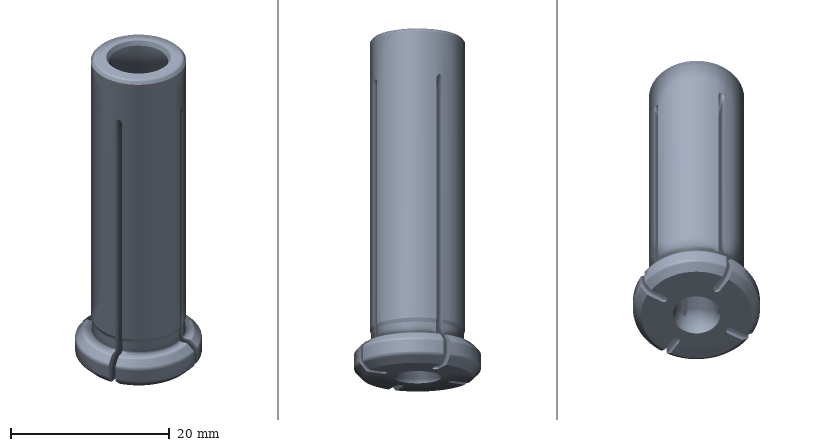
import cadquery as cq

length = 44.0
flange_radius = 16.0 / 2
body_radius = 12.0 / 2

flange_height = 4.0
flange_chamfer = 1.0
flange_edge_fillet = 0.5

groove_depth = 0.15
groove_top = 6.15
groove_taper_height = 0.5
groove_corner_fillet = 0.3

top_chamfer_width = 0.4
top_chamfer_height = 0.5
top_fillet = 0.5

upper_bore_radius = 7.5 / 2
lower_bore_radius = 6.0 / 2
upper_bore_depth = 7.9
bore_cone_height = 1.3
mouth_radius = 4.05
mouth_depth = 0.55

slot_count = 4
slot_width = 0.92
saw_radius = 15.4
saw_axis_offset = 17.55
saw_bottom_z = 8.0
saw_top_z = 27.9


def fillet_circle(body, edge_radius, z, fillet_radius):
    """Fillet the circular edge that has the given radius and height."""
    tolerance = 0.0005

    def is_wanted(edge):
        return (
            edge.geomType() == "CIRCLE"
            and abs(edge.radius() - edge_radius) < tolerance
            and abs(edge.Center().z - z) < tolerance
        )

    return body.edges().filter(is_wanted).fillet(fillet_radius)


def outer_body():
    """Revolve the outside of the flange, relief groove and cylindrical body."""
    groove_radius = body_radius - groove_depth
    flange_face_radius = flange_radius - flange_chamfer
    top_face_radius = body_radius - top_chamfer_width
    flange_rim_top = flange_height - flange_chamfer
    body = (
        cq.Workplane("XZ")
        .moveTo(0, 0)
        .lineTo(flange_face_radius, 0)
        .lineTo(flange_radius, flange_chamfer)
        .lineTo(flange_radius, flange_rim_top)
        .lineTo(flange_face_radius, flange_height)
        .lineTo(groove_radius, flange_height)
        .lineTo(groove_radius, groove_top - groove_taper_height)
        .lineTo(body_radius, groove_top)
        .lineTo(body_radius, length - top_chamfer_height)
        .lineTo(top_face_radius, length)
        .lineTo(0, length)
        .close()
        .revolve(360, (0, 0, 0), (0, 1, 0))
    )
    body = fillet_circle(body, flange_radius, flange_chamfer, flange_edge_fillet)
    body = fillet_circle(body, flange_radius, flange_rim_top, flange_edge_fillet)
    body = fillet_circle(body, flange_face_radius, flange_height, flange_edge_fillet)
    body = fillet_circle(body, groove_radius, flange_height, groove_corner_fillet)
    return fillet_circle(body, top_face_radius, length, top_fillet)


def bore():
    """Revolve the stepped bore with its tapered mouth."""
    cone_top = length - upper_bore_depth
    return (
        cq.Workplane("XZ")
        .moveTo(0, 0)
        .lineTo(lower_bore_radius, 0)
        .lineTo(lower_bore_radius, cone_top - bore_cone_height)
        .lineTo(upper_bore_radius, cone_top)
        .lineTo(upper_bore_radius, length - mouth_depth)
        .lineTo(mouth_radius, length)
        .lineTo(0, length)
        .close()
        .revolve(360, (0, 0, 0), (0, 1, 0))
    )


def slot_section(z):
    """Horizontal half section of the saw: a strip along Y ending in a half circle."""
    half_width = slot_width / 2
    rim_start = saw_radius - half_width
    return (
        cq.Workplane("XY", origin=(0, -saw_axis_offset, z))
        .moveTo(-half_width, 0)
        .lineTo(-half_width, rim_start)
        .threePointArc((0, saw_radius), (half_width, rim_start))
        .lineTo(half_width, 0)
        .close()
    )


def slot():
    """Space swept by the saw, centred on the -Y side, from its lower to its upper position."""
    sweep = slot_section(saw_bottom_z).extrude(saw_top_z - saw_bottom_z)
    for z in (saw_bottom_z, saw_top_z):
        saw_disk = slot_section(z).revolve(360, (0, 0, 0), (1, 0, 0))
        sweep = sweep.union(saw_disk)
    return sweep


result = outer_body().cut(bore())
for index in range(slot_count):
    angle = index * 360 / slot_count
    result = result.cut(slot().rotate((0, 0, 0), (0, 0, 1), angle))